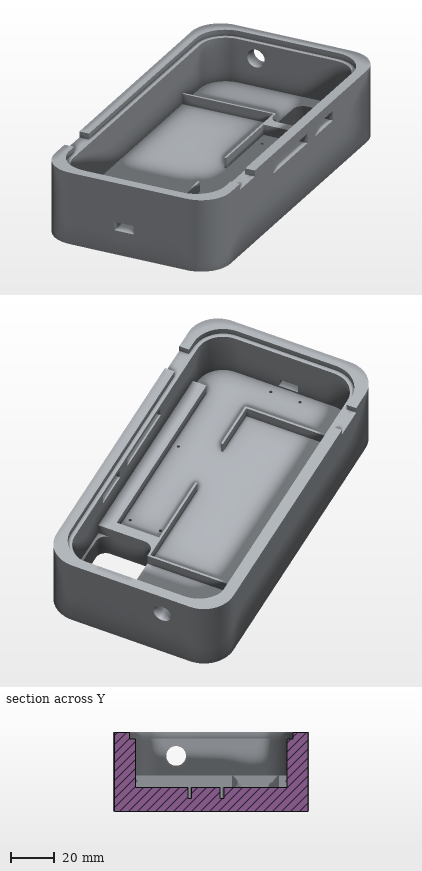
import cadquery as cq

LENGTH = 170.0
WIDTH = 90.0
HEIGHT = 36.5
CORNER_RADIUS = 15.0

CAVITY_WALL = 7.0
REBATE_WALL = 5.0
REBATE_DEPTH = 3.0
CAVITY_RADIUS = CORNER_RADIUS - (CAVITY_WALL - REBATE_WALL)
FLOOR_TOP = 11.2

WINDOW_LEFT = 9.5
WINDOW_BOTTOM = 40.1
WINDOW_WIDTH = 27.4
WINDOW_LENGTH = 30.0
WINDOW_RADIUS = 5.0

RAIL_HEIGHT = 5.3
FENCE_THICKNESS = 1.0
FENCE_TOP = 47.8
FENCE_BOTTOM = -56.3
FENCE_RIGHT = WINDOW_LEFT
FENCE_GAP_TOP = -3.4
FENCE_GAP_BOTTOM = -30.5
LEDGE_INNER_TOP = 35.0
LEDGE_INNER_RIGHT = 31.1
LEDGE_BOTTOM = -60.2

NOTCH_BOTTOM = LEDGE_BOTTOM
NOTCH_LENGTH = 15.1

SCREW_DIAMETER = 1.5
SCREW_DEPTH = 5.0
SCREW_RIGHT_X = 28.4
SCREW_TOP_Y = 26.5
SCREW_POINTS = [
    (13.0, SCREW_TOP_Y),
    (SCREW_RIGHT_X, SCREW_TOP_Y),
    (SCREW_RIGHT_X, -24.6),
    (-9.9, -73.8),
    (5.0, -73.8),
]

PORT_CENTER_X = -2.0
PORT_WIDTH = 9.9
PORT_BOTTOM = 12.2
PORT_HEIGHT = 4.2
JACK_DIAMETER = 9.0
JACK_X = -16.0
JACK_Z = 25.5
BUTTON_BOTTOM = 26.5
BUTTON_HEIGHT = 5.0
BUTTON_SPANS = [(17.2, 35.0), (-26.0, 9.0)]

CAVITY_RIGHT = WIDTH / 2 - CAVITY_WALL
CAVITY_LEFT = -CAVITY_RIGHT
CAVITY_END = LENGTH / 2 - CAVITY_WALL
RAIL_TOP = FLOOR_TOP + RAIL_HEIGHT


def box(x_range, y_range, z_range):
    """Axis-aligned block between the given limits."""
    (x0, x1), (y0, y1), (z0, z1) = x_range, y_range, z_range
    return cq.Workplane("XY").box(x1 - x0, y1 - y0, z1 - z0, centered=False).translate((x0, y0, z0))


def rounded_block(inset, bottom, top, radius=CORNER_RADIUS):
    """Block inset evenly from the housing outline, with rounded upright edges."""
    block = cq.Workplane("XY").workplane(offset=bottom)
    block = block.rect(WIDTH - 2 * inset, LENGTH - 2 * inset).extrude(top - bottom)
    return block.edges("|Z").fillet(radius)


def rail(x_range, y_range):
    """Block standing on the floor, as tall as the fence and ledge."""
    return box(x_range, y_range, (FLOOR_TOP, RAIL_TOP))


def make_shell():
    shell = rounded_block(0, 0, HEIGHT)
    shell = shell.cut(rounded_block(CAVITY_WALL, FLOOR_TOP, HEIGHT, CAVITY_RADIUS))
    return shell.cut(rounded_block(REBATE_WALL, HEIGHT - REBATE_DEPTH, HEIGHT))


def make_upper_fence():
    arm = rail((CAVITY_LEFT, FENCE_RIGHT), (FENCE_TOP - FENCE_THICKNESS, FENCE_TOP))
    upright = rail((FENCE_RIGHT - FENCE_THICKNESS, FENCE_RIGHT), (FENCE_GAP_TOP, FENCE_TOP))
    return arm.union(upright)


def make_lower_fence():
    arm = rail((CAVITY_LEFT, FENCE_RIGHT), (FENCE_BOTTOM, FENCE_BOTTOM + FENCE_THICKNESS))
    upright = rail((FENCE_RIGHT - FENCE_THICKNESS, FENCE_RIGHT), (FENCE_BOTTOM, FENCE_GAP_BOTTOM))
    return arm.union(upright)


def make_ledge():
    """L-shaped ledge beside the circuit board, filled up to the window's rounded corner."""
    crossbar = rail((FENCE_RIGHT, CAVITY_RIGHT), (LEDGE_INNER_TOP, WINDOW_BOTTOM))
    side = rail((LEDGE_INNER_RIGHT, CAVITY_RIGHT), (LEDGE_BOTTOM, WINDOW_BOTTOM))
    corner = rail(
        (WINDOW_LEFT, WINDOW_LEFT + WINDOW_RADIUS),
        (WINDOW_BOTTOM, WINDOW_BOTTOM + WINDOW_RADIUS),
    )
    return crossbar.union(side).union(corner)


def make_window():
    window = box(
        (WINDOW_LEFT, WINDOW_LEFT + WINDOW_WIDTH),
        (WINDOW_BOTTOM, WINDOW_BOTTOM + WINDOW_LENGTH),
        (0, RAIL_TOP),
    )
    return window.edges("|Z").fillet(WINDOW_RADIUS)


def make_notches():
    return box(
        (-WIDTH / 2, WIDTH / 2),
        (NOTCH_BOTTOM, NOTCH_BOTTOM + NOTCH_LENGTH),
        (HEIGHT - REBATE_DEPTH, HEIGHT),
    )


def make_screw_holes():
    holes = cq.Workplane("XY").workplane(offset=FLOOR_TOP - SCREW_DEPTH)
    return holes.pushPoints(SCREW_POINTS).circle(SCREW_DIAMETER / 2).extrude(SCREW_DEPTH)


def make_port():
    return box(
        (PORT_CENTER_X - PORT_WIDTH / 2, PORT_CENTER_X + PORT_WIDTH / 2),
        (-LENGTH / 2, -CAVITY_END),
        (PORT_BOTTOM, PORT_BOTTOM + PORT_HEIGHT),
    )


def make_jack_hole():
    hole = cq.Workplane("XZ", origin=(JACK_X, LENGTH / 2, JACK_Z))
    return hole.circle(JACK_DIAMETER / 2).extrude(CAVITY_WALL)


def make_button_slot(y_range):
    return box((CAVITY_RIGHT, WIDTH / 2), y_range, (BUTTON_BOTTOM, BUTTON_BOTTOM + BUTTON_HEIGHT))


def make_housing():
    body = make_shell().union(make_upper_fence()).union(make_ledge())
    body = body.cut(make_window()).cut(make_notches()).cut(make_screw_holes())
    body = body.cut(make_port()).cut(make_jack_hole())
    for span in BUTTON_SPANS:
        body = body.cut(make_button_slot(span))
    return body


housing = make_housing()
lower_fence = make_lower_fence()

result = cq.Compound.makeCompound([housing.val(), lower_fence.val()])